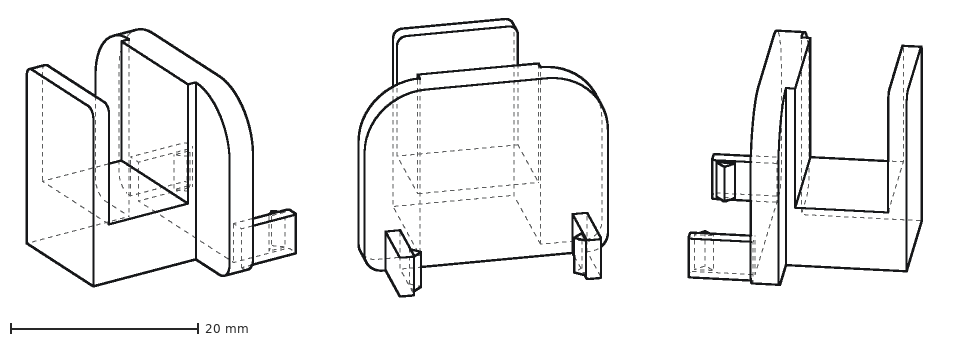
import cadquery as cq

plate_width = 26.7
plate_height = 20.8
plate_thickness = 3.0
plate_top_radius = 6.73
plate_bottom_radius = 2.0

hook_width = plate_width - 2 * plate_top_radius
hook_depth = 13.0
hook_floor_height = 6.8
hook_back_thickness = 1.0
hook_lip_thickness = 2.0
lip_corner_radius = 1.01

arm_length = 7.0
arm_thickness = 1.6
arm_height = 4.57
arm_outer_x = 11.05
arm_tip_radius = 0.27

barb_reach = 1.07
barb_half_length = 1.01
barb_tip_setback = 1.5
barb_end_inset = 0.25

arm_end_y = plate_thickness + arm_length


def make_plate():
    plate = cq.Workplane("XY").box(
        plate_width, plate_thickness, plate_height, centered=(True, False, False)
    )
    plate = plate.edges("|Y and >Z").fillet(plate_top_radius)
    return plate.edges("|Y and <Z").fillet(plate_bottom_radius)


def make_hook():
    gap_depth = hook_depth - hook_back_thickness - hook_lip_thickness
    base_depth = hook_depth - hook_lip_thickness
    base = cq.Workplane("XY").box(
        hook_width, base_depth, plate_height, centered=(True, False, False)
    ).translate((0, -base_depth, 0))
    gap = cq.Workplane("XY").box(
        hook_width, gap_depth, plate_height, centered=(True, False, False)
    ).translate((0, -base_depth, hook_floor_height))
    lip = cq.Workplane("XY").box(
        hook_width, hook_lip_thickness, plate_height, centered=(True, False, False)
    ).translate((0, -hook_depth, 0))
    lip = lip.edges("|Y and >Z").fillet(lip_corner_radius)
    return base.cut(gap).union(lip)


def make_left_arm():
    arm = cq.Workplane("XY").box(
        arm_thickness, arm_length, arm_height, centered=False
    ).translate((-arm_outer_x, plate_thickness, 0))
    arm = arm.edges("|Z and >Y").fillet(arm_tip_radius)
    inner_x = arm_thickness - arm_outer_x
    barb_y = arm_end_y - barb_tip_setback
    barb = (
        cq.Workplane("XY", origin=(0, 0, barb_end_inset))
        .moveTo(inner_x, barb_y - barb_half_length)
        .lineTo(inner_x + barb_reach, barb_y)
        .lineTo(inner_x, barb_y + barb_half_length)
        .close()
        .extrude(arm_height - 2 * barb_end_inset)
    )
    return arm.union(barb)


left_arm = make_left_arm()
right_arm = left_arm.mirror("YZ")
result = make_plate().union(make_hook()).union(left_arm).union(right_arm)